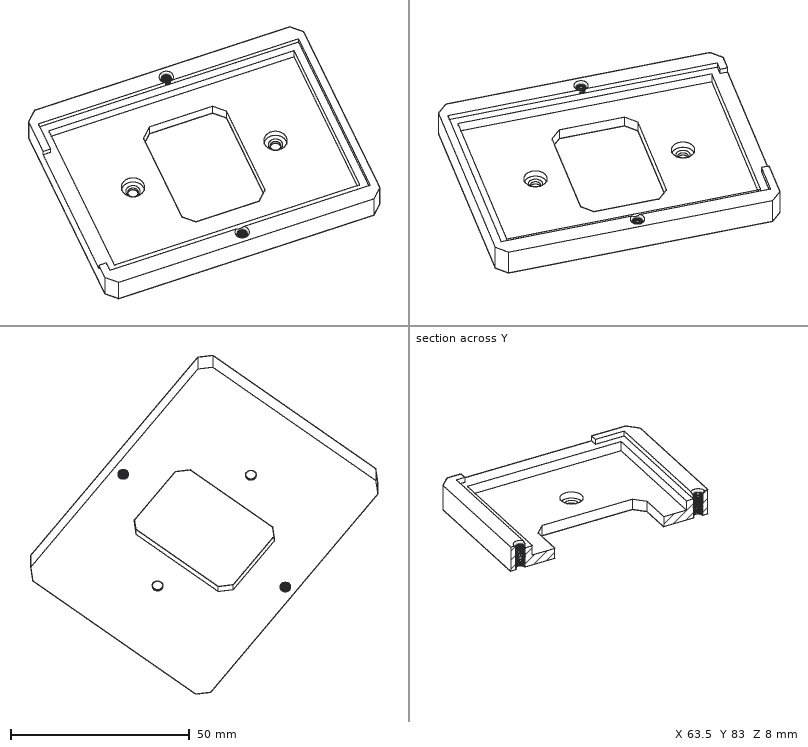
import cadquery as cq

WIDTH = 63.5
LENGTH = 83.0
HEIGHT = 8.0
CORNER_CHAMFER = 3.0

SEAT_WIDTH = 54.0
SEAT_LENGTH = 78.5
SEAT_DEPTH = 1.6
LEDGE = 2.25
POCKET_WIDTH = SEAT_WIDTH - 2 * LEDGE
POCKET_LENGTH = SEAT_LENGTH - 2 * LEDGE
POCKET_DEPTH = 4.6
POCKET_FLOOR = HEIGHT - POCKET_DEPTH

NOTCH_WIDTH = 42.0
NOTCH_CENTER_X = 3.25

WINDOW_WIDTH = 35.0
WINDOW_LENGTH = 25.0
WINDOW_CHAMFER = 3.0

HOLE_DIAMETER = 3.0
MOUTH_CHAMFER = 0.5
MOUTH_DIAMETER = HOLE_DIAMETER + 2 * MOUTH_CHAMFER
FLOOR_HOLE_Y = 21.5
COUNTERBORE_DIAMETER = 6.5
COUNTERBORE_DEPTH = 2.0

RIM_HOLE_X = 28.6
THREAD_CORE_DIAMETER = 2.6
THREAD_PITCH = 0.5


def block(width, length, bottom, top):
    """Box centred on the Z axis between two heights."""
    return cq.Workplane("XY").workplane(offset=bottom).rect(width, length).extrude(top - bottom)


def revolved(points):
    """Solid of revolution about the Z axis from (radius, height) points."""
    return cq.Workplane("XZ").polyline(points).close().revolve(360, (0, 0, 0), (0, 1, 0))


def plain_hole(mouth):
    """Cutter for a smooth through hole with a chamfered mouth at the given height."""
    radius = HOLE_DIAMETER / 2
    return revolved(
        [
            (0, 0),
            (radius, 0),
            (radius, mouth - MOUTH_CHAMFER),
            (MOUTH_DIAMETER / 2, mouth),
            (0, mouth),
        ]
    )


def threaded_hole():
    """Cutter for a rim hole: ringed bore up to the chamfered mouth in the top face."""
    crest = THREAD_CORE_DIAMETER / 2
    root = HOLE_DIAMETER / 2
    thread_top = HEIGHT - MOUTH_CHAMFER
    ring_count = round(thread_top / THREAD_PITCH)
    points = [(0, 0), (root, 0)]
    for ring in range(ring_count):
        ring_bottom = ring * THREAD_PITCH
        points.append((crest, ring_bottom + THREAD_PITCH / 2))
        points.append((root, ring_bottom + THREAD_PITCH))
    points.append((MOUTH_DIAMETER / 2, HEIGHT))
    points.append((0, HEIGHT))
    return revolved(points)


def counterbored_hole():
    """Cutter for a pocket-floor hole: counterbore, then a smooth through hole."""
    seat = POCKET_FLOOR - COUNTERBORE_DEPTH
    counterbore = (
        cq.Workplane("XY")
        .workplane(offset=seat)
        .circle(COUNTERBORE_DIAMETER / 2)
        .extrude(COUNTERBORE_DEPTH)
    )
    return counterbore.union(plain_hole(seat))


def front_notch():
    """Cutter that carries the seat level out through the front wall."""
    wall = (LENGTH - SEAT_LENGTH) / 2
    center_y = -(LENGTH - wall) / 2
    notch = block(NOTCH_WIDTH, wall, HEIGHT - SEAT_DEPTH, HEIGHT)
    return notch.translate((NOTCH_CENTER_X, center_y, 0))


plate = block(WIDTH, LENGTH, 0, HEIGHT).edges("|Z").chamfer(CORNER_CHAMFER)
plate = plate.cut(block(SEAT_WIDTH, SEAT_LENGTH, HEIGHT - SEAT_DEPTH, HEIGHT))
plate = plate.cut(block(POCKET_WIDTH, POCKET_LENGTH, POCKET_FLOOR, HEIGHT))
plate = plate.cut(front_notch())

window = block(WINDOW_WIDTH, WINDOW_LENGTH, 0, POCKET_FLOOR).edges("|Z").chamfer(WINDOW_CHAMFER)
plate = plate.cut(window)

for side in (-1, 1):
    plate = plate.cut(counterbored_hole().translate((0, side * FLOOR_HOLE_Y, 0)))
    plate = plate.cut(threaded_hole().translate((side * RIM_HOLE_X, 0, 0)))

result = plate